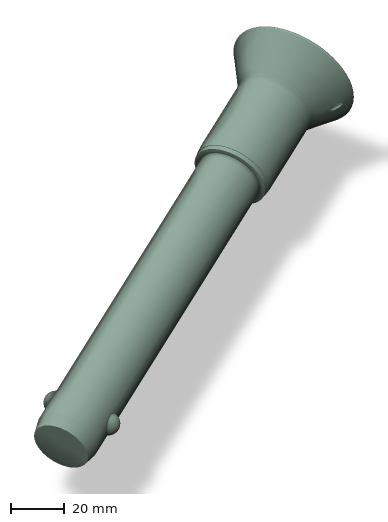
import cadquery as cq
import math


PIN_RADIUS = 12.5
PIN_LENGTH = 142.0
TIP_LENGTH = 5.5
TIP_RADIUS = 11.2

BALL_RADIUS = 4.5
BALL_REACH = 15.5
BALL_FROM_TIP = 17.6

HANDLE_LENGTH = 54.8
SHOULDER_RADIUS = 14.65
SHOULDER_LENGTH = 1.8
SLEEVE_RADIUS = 15.25
SLEEVE_START = 4.8
RING_TAPER = 0.3
FLARE_ANGLE = math.radians(32.0)
NECK_FILLET = 4.0
RIM_RADIUS = 25.0
RIM_BEAD = 1.0

LANYARD_HOLE_DIAMETER = 3.0
LANYARD_HOLE_OFFSET = 21.0

SELECTION_MARGIN = 0.01


def make_body():
    """Pin and handle as one turned solid about the Y axis."""
    bead_x = RIM_RADIUS - RIM_BEAD
    bead_y = HANDLE_LENGTH - RIM_BEAD
    flare_end_x = bead_x + RIM_BEAD * math.cos(FLARE_ANGLE)
    flare_end_y = bead_y - RIM_BEAD * math.sin(FLARE_ANGLE)
    flare_start_y = flare_end_y - (flare_end_x - SLEEVE_RADIUS) / math.tan(FLARE_ANGLE)

    profile = (
        cq.Workplane("XY")
        .moveTo(0, -PIN_LENGTH)
        .lineTo(TIP_RADIUS, -PIN_LENGTH)
        .lineTo(PIN_RADIUS, TIP_LENGTH - PIN_LENGTH)
        .lineTo(PIN_RADIUS, 0)
        .lineTo(SHOULDER_RADIUS, 0)
        .lineTo(SHOULDER_RADIUS, SHOULDER_LENGTH)
        .lineTo(SLEEVE_RADIUS - RING_TAPER, SHOULDER_LENGTH)
        .lineTo(SLEEVE_RADIUS, SLEEVE_START)
        .lineTo(SLEEVE_RADIUS, flare_start_y)
        .lineTo(flare_end_x, flare_end_y)
        .threePointArc((RIM_RADIUS, bead_y), (bead_x, HANDLE_LENGTH))
        .lineTo(0, HANDLE_LENGTH)
        .close()
    )
    body = profile.revolve(360, (0, 0, 0), (0, 1, 0))

    neck = cq.selectors.BoxSelector(
        (-RIM_RADIUS, flare_start_y - SELECTION_MARGIN, -RIM_RADIUS),
        (RIM_RADIUS, flare_start_y + SELECTION_MARGIN, RIM_RADIUS),
        boundingbox=True,
    )
    return body.edges(neck).fillet(NECK_FILLET)


def add_locking_balls(body):
    """Two opposite balls standing proud of the pin along X."""
    ball_x = BALL_REACH - BALL_RADIUS
    ball_y = BALL_FROM_TIP - PIN_LENGTH
    for side in (-1, 1):
        ball = cq.Workplane("XY").sphere(BALL_RADIUS).translate((side * ball_x, ball_y, 0))
        body = body.union(ball)
    return body


def cut_lanyard_hole(body):
    """Hole parallel to the pin near the edge of the flare."""
    drill = (
        cq.Workplane("XZ")
        .center(LANYARD_HOLE_OFFSET, 0)
        .circle(LANYARD_HOLE_DIAMETER / 2)
        .extrude(-HANDLE_LENGTH)
    )
    return body.cut(drill)


result = cut_lanyard_hole(add_locking_balls(make_body()))